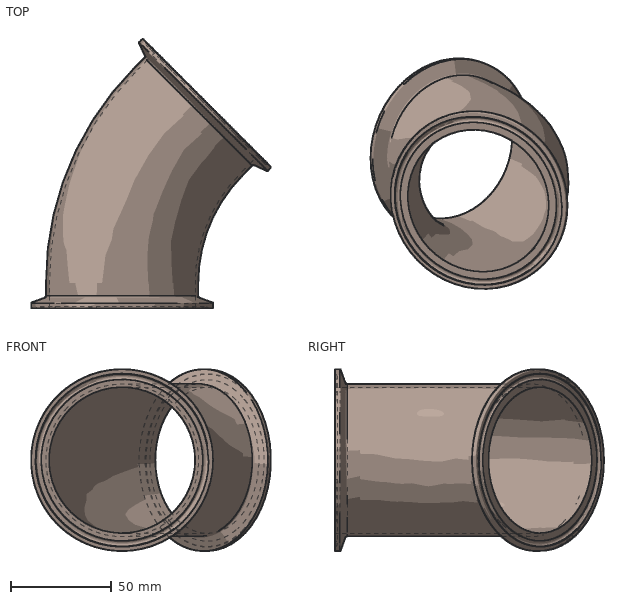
import cadquery as cq
import math

overall_length = 134.5
bend_angle = 45.0
flange_diameter = 90.9
tube_outer_diameter = 76.3
tube_inner_diameter = 72.9
ferrule_length = 12.6
rim_thickness = 2.8
clamp_slope = 20.0
neck_fillet = 1.0
rim_fillet = 0.4
groove_center_radius = 41.7
groove_width = 2.8
groove_depth = 1.1
groove_edge_fillet = 0.3

flange_radius = flange_diameter / 2
tube_radius = tube_outer_diameter / 2
bore_radius = tube_inner_diameter / 2
neck_start = rim_thickness + (flange_radius - tube_radius) * math.tan(math.radians(clamp_slope))

angle = math.radians(bend_angle)
rim_reach = (flange_radius - rim_fillet) * math.sin(angle) + rim_fillet * (1 - math.cos(angle))
leg_length = (overall_length - rim_reach) / (1 + math.cos(angle))
bend_radius = (leg_length - ferrule_length) / math.tan(angle / 2)


def circle_at(radius, height):
    """Selector for the one circular edge of this radius at this height on the Y axis."""
    margin = 0.01
    outside = cq.selectors.BoxSelector(
        (-radius - margin, height - margin, -radius - margin),
        (radius + margin, height + margin, radius + margin),
        boundingbox=True,
    )
    inside = cq.selectors.BoxSelector(
        (-radius + margin, height - margin, -radius + margin),
        (radius - margin, height + margin, radius - margin),
        boundingbox=True,
    )
    return outside - inside


def make_ferrule():
    """Clamp ferrule around the Y axis, with its gasket face at Y = 0."""
    groove_inner_radius = groove_center_radius - groove_width / 2
    groove_outer_radius = groove_center_radius + groove_width / 2
    ferrule = (
        cq.Workplane("XY")
        .moveTo(bore_radius, 0)
        .lineTo(groove_inner_radius, 0)
        .threePointArc((groove_center_radius, groove_depth), (groove_outer_radius, 0))
        .lineTo(flange_radius, 0)
        .lineTo(flange_radius, rim_thickness)
        .lineTo(tube_radius, neck_start)
        .lineTo(tube_radius, ferrule_length)
        .lineTo(bore_radius, ferrule_length)
        .close()
        .revolve(360, (0, 0, 0), (0, 1, 0))
    )
    rounded_edges = [
        (tube_radius, neck_start, neck_fillet),
        (flange_radius, rim_thickness, rim_fillet),
        (flange_radius, 0, rim_fillet),
        (groove_inner_radius, 0, groove_edge_fillet),
        (groove_outer_radius, 0, groove_edge_fillet),
    ]
    for radius, height, fillet_radius in rounded_edges:
        ferrule = ferrule.edges(circle_at(radius, height)).fillet(fillet_radius)
    return ferrule


def make_bend():
    """Tube bend that starts at the end of the first ferrule and turns toward +X."""
    return (
        cq.Workplane("XZ", origin=(0, ferrule_length, 0))
        .circle(tube_radius)
        .circle(bore_radius)
        .revolve(bend_angle, (bend_radius, 0, 0), (bend_radius, -1, 0))
    )


near_ferrule = make_ferrule()
far_ferrule = (
    near_ferrule.rotate((0, 0, 0), (0, 0, 1), 180 - bend_angle)
    .translate((leg_length * math.sin(angle), leg_length * (1 + math.cos(angle)), 0))
)
result = near_ferrule.union(make_bend()).union(far_ferrule)